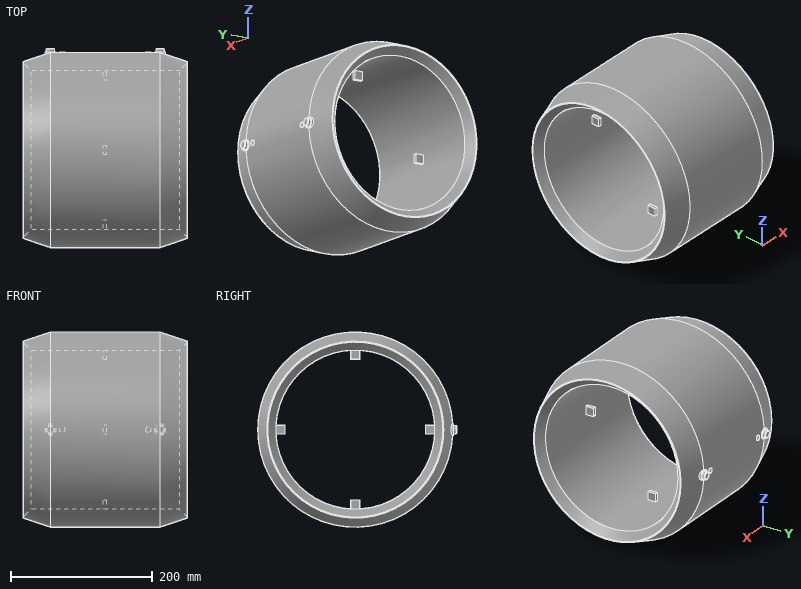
import cadquery as cq

length = 233.0
outer_radius = 138.5
bore_radius = 112.5
taper_length = 39.0
end_radius = 125.5
rim_width = 1.5
mouth_depth = 11.5

tab_width = 13.0
tab_height = 13.0
tab_thickness = 5.0
tab_offset = -0.5
tab_count = 4
tab_embed = 2.0

terminal_spacing = 155.5
terminal_top = 144.0
terminal_diameter = 12.0
terminal_chamfer = 1.0
collar_diameter = 16.0
collar_top = 139.3
pin_root = 132.0

indicator_spacing = 122.0
indicator_diameter = 8.0
indicator_top = 139.0


def make_sleeve():
    half_length = length / 2
    mouth_radius = end_radius - rim_width
    profile = [
        (-half_length, end_radius),
        (-half_length + taper_length, outer_radius),
        (half_length - taper_length, outer_radius),
        (half_length, end_radius),
        (half_length, mouth_radius),
        (half_length - mouth_depth, bore_radius),
        (-half_length + mouth_depth, bore_radius),
        (-half_length, mouth_radius),
    ]
    section = cq.Workplane("XY").polyline(profile).close()
    return section.revolve(360, (0, 0, 0), (1, 0, 0))


def make_tab(angle):
    radial_length = tab_height + tab_embed
    centre_radius = bore_radius + tab_embed - radial_length / 2
    tab = cq.Workplane("XY").box(tab_thickness, radial_length, tab_width)
    return tab.translate((tab_offset, centre_radius, 0)).rotate((0, 0, 0), (1, 0, 0), angle)


def radial_pin(x, diameter, top):
    """Round pin pointing along +Y, from inside the tube wall out to `top`."""
    base = cq.Workplane("XZ", origin=(x, top, 0))
    return base.circle(diameter / 2).extrude(top - pin_root)


def make_terminal(x):
    post = radial_pin(x, terminal_diameter, terminal_top)
    post = post.faces(">Y").chamfer(terminal_chamfer)
    return post.union(radial_pin(x, collar_diameter, collar_top))


result = make_sleeve()

for index in range(tab_count):
    result = result.union(make_tab(index * 360 / tab_count))

for side in (-1, 1):
    result = result.union(make_terminal(side * terminal_spacing / 2))
    indicator_x = side * indicator_spacing / 2
    result = result.union(radial_pin(indicator_x, indicator_diameter, indicator_top))